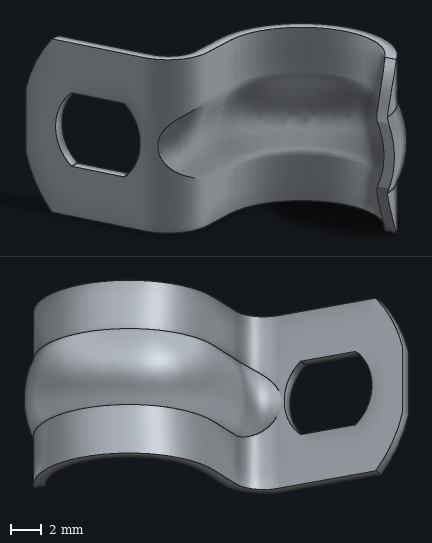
import cadquery as cq
import math

length = 24.38
width = 12.0
thickness = 0.8
hoop_inner_radius = 5.45
hoop_outer_radius = hoop_inner_radius + thickness
hoop_y = 5.92
bend_outer_radius = 3.0
bend_inner_radius = 2.05

bead_height = 0.6
bead_outer_radius = 6.0
bead_inner_radius = bead_outer_radius - thickness
groove_edge_radius = 1.68
bead_runout_radius = 2.0
groove_runout_radius = 3.55
runout_sink = 0.02
section_overlap = 0.12

hole_x = 5.53
hole_radius = 3.25
hole_height = 5.07
end_flat_height = 4.49
end_corner_setback = 2.0
hoop_end_y = 6.39

half_width = width / 2
crest_radius = hoop_outer_radius + bead_height
hoop_x = length - math.sqrt(crest_radius**2 - (hoop_end_y - hoop_y) ** 2)
wall_inner_x = hoop_x - hoop_inner_radius
wall_outer_x = wall_inner_x - thickness
bead_crest_x = wall_outer_x - bead_height
groove_crest_x = bead_crest_x + thickness
bend_x = wall_inner_x - bend_outer_radius
bend_y = bend_outer_radius
inner_bend_x = wall_outer_x - bend_inner_radius
inner_bend_y = thickness + bend_inner_radius
bead_end_y = thickness + bead_runout_radius - runout_sink
half_flat = end_flat_height / 2
end_arc_center = (half_width**2 + end_corner_setback**2 - half_flat**2) / (2 * end_corner_setback)
end_arc_radius = math.hypot(end_arc_center, half_flat)


def make_strip():
    diagonal = math.sqrt(0.5)
    return (
        cq.Workplane("XY")
        .workplane(offset=-half_width)
        .moveTo(0, 0)
        .lineTo(bend_x, 0)
        .threePointArc(
            (bend_x + bend_outer_radius * diagonal, bend_y - bend_outer_radius * diagonal),
            (wall_inner_x, bend_y),
        )
        .lineTo(wall_inner_x, hoop_y)
        .threePointArc((hoop_x, hoop_y + hoop_inner_radius), (hoop_x + hoop_inner_radius, hoop_y))
        .lineTo(hoop_x + hoop_outer_radius, hoop_y)
        .threePointArc((hoop_x, hoop_y + hoop_outer_radius), (wall_outer_x, hoop_y))
        .lineTo(wall_outer_x, inner_bend_y)
        .threePointArc(
            (inner_bend_x + bend_inner_radius * diagonal, inner_bend_y - bend_inner_radius * diagonal),
            (inner_bend_x, thickness),
        )
        .lineTo(0, thickness)
        .close()
        .extrude(width)
    )


def section_plane(y):
    return cq.Workplane("XZ", origin=(0, y, 0))


def bead_section(y):
    """Circular segment standing on the outer face of the wall."""
    half_chord = math.sqrt(bead_outer_radius**2 - (bead_outer_radius - bead_height) ** 2)
    base_x = wall_outer_x + section_overlap
    return (
        section_plane(y)
        .moveTo(base_x, -half_chord)
        .lineTo(wall_outer_x, -half_chord)
        .threePointArc((bead_crest_x, 0), (wall_outer_x, half_chord))
        .lineTo(base_x, half_chord)
        .close()
    )


def groove_section(y):
    """Arc concentric with the bead, blended into the inner face by rounded edges."""
    arc_x = bead_crest_x + bead_outer_radius
    edge_x = wall_inner_x - groove_edge_radius
    center_distance = bead_inner_radius + groove_edge_radius
    edge_z = math.sqrt(center_distance**2 - (arc_x - edge_x) ** 2)
    edge_angle = math.atan2(edge_z, arc_x - edge_x)
    tangent_x = arc_x - bead_inner_radius * math.cos(edge_angle)
    tangent_z = bead_inner_radius * math.sin(edge_angle)
    edge_mid_x = edge_x + groove_edge_radius * math.cos(edge_angle / 2)
    edge_mid_z = edge_z - groove_edge_radius * math.sin(edge_angle / 2)
    open_x = wall_inner_x + section_overlap
    return (
        section_plane(y)
        .moveTo(open_x, -edge_z)
        .lineTo(wall_inner_x, -edge_z)
        .threePointArc((edge_mid_x, -edge_mid_z), (tangent_x, -tangent_z))
        .threePointArc((groove_crest_x, 0), (tangent_x, tangent_z))
        .threePointArc((edge_mid_x, edge_mid_z), (wall_inner_x, edge_z))
        .lineTo(open_x, edge_z)
        .close()
    )


def follow_strip(section, runout_axis_x, runout_y):
    """Carry a section round the hoop, down the wall and through the bend."""
    hoop = section(hoop_y).revolve(180, (hoop_x, 0.25), (hoop_x, 0))
    wall = section(hoop_y).extrude(hoop_y - runout_y)
    runout = section(runout_y).revolve(90, (runout_axis_x, 0.25), (runout_axis_x, 0))
    return hoop.union(wall).union(runout)


def end_outline(plane):
    """Strip outline starting at a flat-nosed, round-shouldered end."""
    shoulder_z = (half_flat + half_width) / 2
    shoulder = end_arc_center - math.sqrt(end_arc_radius**2 - shoulder_z**2)
    return (
        plane
        .moveTo(0, -half_flat)
        .lineTo(0, half_flat)
        .threePointArc((shoulder, shoulder_z), (end_corner_setback, half_width))
        .lineTo(length, half_width)
        .lineTo(length, -half_width)
        .lineTo(end_corner_setback, -half_width)
        .threePointArc((shoulder, -shoulder_z), (0, -half_flat))
        .close()
    )


def round_tab_end(body):
    outline = end_outline(cq.Workplane("XZ")).extrude(-length)
    return body.intersect(outline)


def round_hoop_end(body):
    plane = cq.Workplane("YZ", origin=(hoop_x, hoop_end_y, 0))
    kept = end_outline(plane).extrude(length)
    hoop_side = cq.Workplane("XY").box(length, 2 * length, width, centered=(False, True, True))
    waste = hoop_side.translate((hoop_x, 0, 0)).cut(kept)
    return body.cut(waste)


def make_hole():
    disc = section_plane(thickness).center(hole_x, 0).circle(hole_radius).extrude(thickness)
    band = section_plane(thickness).center(hole_x, 0).rect(2 * hole_radius, hole_height).extrude(thickness)
    return disc.intersect(band)


bead = follow_strip(bead_section, bead_crest_x - bead_runout_radius, bead_end_y)
groove = follow_strip(groove_section, groove_crest_x - groove_runout_radius, bend_y)
clip = make_strip().union(bead).cut(groove)
clip = round_hoop_end(round_tab_end(clip))
result = clip.cut(make_hole())